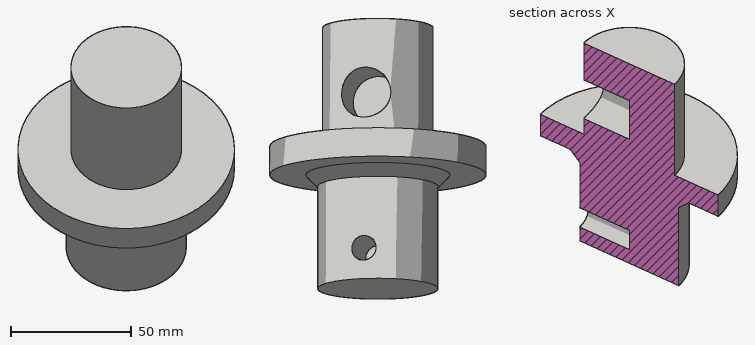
import cadquery as cq

total_height = 110.0
upper_shaft_length = 50.0
flange_thickness = 12.0
cone_height = 5.0

upper_shaft_diameter = 46.0
flange_diameter = 90.0
lower_shaft_diameter = 50.0
cone_top_diameter = lower_shaft_diameter + 2 * cone_height

upper_hole_diameter = 21.0
upper_hole_height = 79.0
lower_hole_diameter = 10.3
lower_hole_height = 13.0

flange_top = total_height - upper_shaft_length
flange_bottom = flange_top - flange_thickness
cone_bottom = flange_bottom - cone_height


def turned_body():
    """Two shafts, flange and conical support revolved about Z."""
    profile = [
        (0, 0),
        (lower_shaft_diameter / 2, 0),
        (lower_shaft_diameter / 2, cone_bottom),
        (cone_top_diameter / 2, flange_bottom),
        (flange_diameter / 2, flange_bottom),
        (flange_diameter / 2, flange_top),
        (upper_shaft_diameter / 2, flange_top),
        (upper_shaft_diameter / 2, total_height),
        (0, total_height),
    ]
    return cq.Workplane("XZ").polyline(profile).close().revolve(360, (0, 0), (0, 1))


def radial_hole(diameter, height, shaft_diameter):
    """Cutter from the shaft axis out through its +Y side."""
    return cq.Workplane("XZ").center(0, height).circle(diameter / 2).extrude(-shaft_diameter)


result = (
    turned_body()
    .cut(radial_hole(upper_hole_diameter, upper_hole_height, upper_shaft_diameter))
    .cut(radial_hole(lower_hole_diameter, lower_hole_height, lower_shaft_diameter))
)